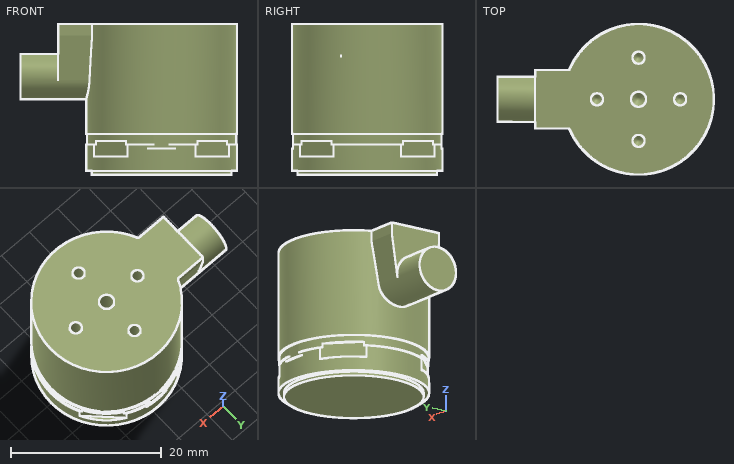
import cadquery as cq
import math

total_length = 28.7
height = 20.0
body_diameter = 20.0
body_radius = body_diameter / 2
lip_radius = 9.27
lip_height = 0.52
band_radius = 9.9
band_bottom = 4.02
band_top = 5.42

diagonal_flat_distance = 9.5
diagonal_flat_bottom = 2.4
diagonal_flat_top = 4.5
side_flat_distance = 9.85
side_flat_bottom = 3.47

cable_radius = 3.0
cable_axis_z = height - 7.0
cable_end_x = body_radius - total_length
block_end_x = -13.72
block_half_width = 3.9
block_straight_height = 1.55

centre_hole_diameter = 2.0
outer_hole_diameter = 1.6
outer_hole_offset = 5.5
hole_depth = 5.0
drill_tip_angle = 118.0


def disc(radius, bottom, top):
    return cq.Workplane("XY").workplane(offset=bottom).circle(radius).extrude(top - bottom)


def flat_cutter(distance, bottom, top, angle):
    """Block that removes everything farther from the axis than the flat at the given angle."""
    block = cq.Workplane("XY").box(
        body_radius, body_diameter, top - bottom, centered=(False, True, False)
    )
    return block.translate((distance, 0, bottom)).rotate((0, 0, 0), (0, 0, 1), angle)


def cable_outlet():
    """Cable stub and its block, whose sloping sides run tangent to the stub."""
    cable = cq.Workplane("YZ", origin=(cable_end_x, 0, 0))
    cable = cable.center(0, cable_axis_z).circle(cable_radius).extrude(-cable_end_x)

    shoulder_z = height - block_straight_height
    shoulder_rise = shoulder_z - cable_axis_z
    shoulder_reach = math.hypot(block_half_width, shoulder_rise)
    shoulder_angle = math.atan2(shoulder_rise, block_half_width)
    tangent_angle = shoulder_angle - math.acos(cable_radius / shoulder_reach)
    tangent_y = cable_radius * math.cos(tangent_angle)
    tangent_z = cable_axis_z + cable_radius * math.sin(tangent_angle)

    block = (
        cq.Workplane("YZ", origin=(block_end_x, 0, 0))
        .moveTo(-block_half_width, height)
        .lineTo(block_half_width, height)
        .lineTo(block_half_width, shoulder_z)
        .lineTo(tangent_y, tangent_z)
        .threePointArc((0, cable_axis_z - cable_radius), (-tangent_y, tangent_z))
        .lineTo(-block_half_width, shoulder_z)
        .close()
        .extrude(-block_end_x)
    )
    return block.union(cable)


def drilled_hole(x, y, diameter):
    """Cutter for a blind hole from the top face, ending in a drill cone."""
    radius = diameter / 2
    tip_length = radius / math.tan(math.radians(drill_tip_angle / 2))
    profile = (
        cq.Workplane("XZ")
        .moveTo(0, height)
        .lineTo(radius, height)
        .lineTo(radius, height - hole_depth)
        .lineTo(0, height - hole_depth - tip_length)
        .close()
    )
    return profile.revolve(360, (0, 0, 0), (0, 1, 0)).translate((x, y, 0))


result = disc(lip_radius, 0, lip_height)
result = result.union(disc(body_radius, lip_height, band_bottom))
result = result.union(disc(band_radius, band_bottom, band_top))
result = result.union(disc(body_radius, band_top, height))
result = result.union(cable_outlet())

for angle in (45, 135, 225, 315):
    result = result.cut(
        flat_cutter(diagonal_flat_distance, diagonal_flat_bottom, diagonal_flat_top, angle)
    )
for angle in (90, 270):
    result = result.cut(flat_cutter(side_flat_distance, side_flat_bottom, band_top, angle))

result = result.cut(drilled_hole(0, 0, centre_hole_diameter))
for x_side, y_side in ((1, 0), (0, 1), (-1, 0), (0, -1)):
    hole_x = x_side * outer_hole_offset
    hole_y = y_side * outer_hole_offset
    result = result.cut(drilled_hole(hole_x, hole_y, outer_hole_diameter))